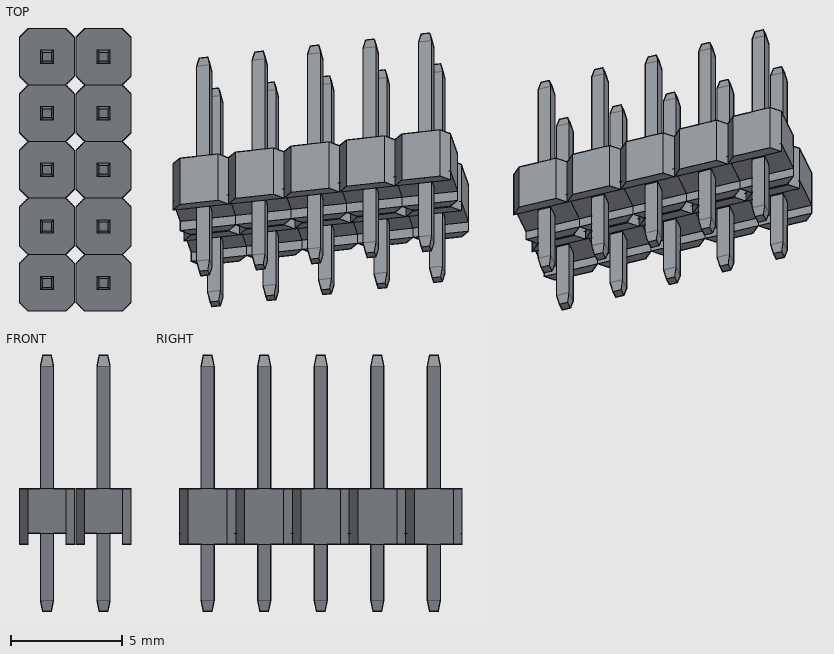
import cadquery as cq

columns = 2
rows = 5
overall_y = 12.7
pitch = overall_y / rows

column_gap = 0.06
block_x = pitch - column_gap
block_y = pitch
block_height = 2.5
corner_chamfer = 0.4

channel_width = block_x - 2 * corner_chamfer
channel_depth = 0.5

pin_width = 0.6
pin_above_block = 6.0
overall_z = 11.5
pin_below_block = overall_z - block_height - pin_above_block
tip_width = 0.4
tip_length = 0.5


def make_block():
    """Chamfered block with a channel along Y in its underside."""
    block = cq.Workplane("XY").box(block_x, block_y, block_height, centered=(True, True, False))
    block = block.edges("|Z").chamfer(corner_chamfer)
    channel = cq.Workplane("XY").box(channel_width, block_y, channel_depth, centered=(True, True, False))
    return block.cut(channel)


def make_tip(shoulder_z, end_z):
    """Square taper from the full pin width down to the tip width."""
    shoulder = cq.Workplane("XY").workplane(offset=shoulder_z).rect(pin_width, pin_width)
    return shoulder.workplane(offset=end_z - shoulder_z).rect(tip_width, tip_width).loft(ruled=True)


def make_pin():
    """Straight square shank through the block, with a taper at each end."""
    bottom_z = -pin_below_block
    top_z = block_height + pin_above_block
    shank_bottom_z = bottom_z + tip_length
    shank_top_z = top_z - tip_length
    shank = (
        cq.Workplane("XY")
        .workplane(offset=shank_bottom_z)
        .rect(pin_width, pin_width)
        .extrude(shank_top_z - shank_bottom_z)
    )
    return shank.union(make_tip(shank_top_z, top_z)).union(make_tip(shank_bottom_z, bottom_z))


def make_header_cell():
    """One body: a block and the pin that is part of it."""
    return make_block().union(make_pin())


header_cell = make_header_cell()
header_cells = []
for column in range(columns):
    for row in range(rows):
        cell_x = (column - (columns - 1) / 2) * pitch
        cell_y = (row - (rows - 1) / 2) * pitch
        header_cells.append(header_cell.translate((cell_x, cell_y, 0)).val())

result = cq.Compound.makeCompound(header_cells)